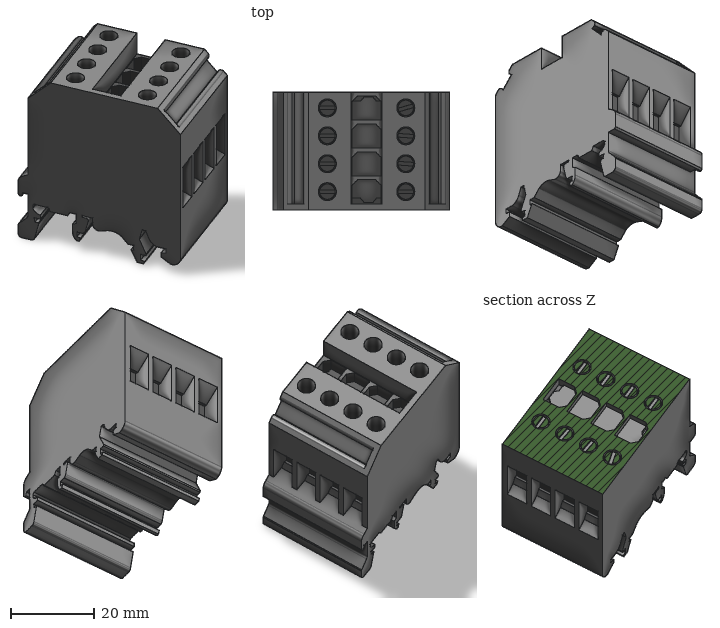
import cadquery as cq

WIDTH = 42.5
LENGTH = 28.35
HEIGHT = 46.4

TERMINALS = 4
END_PLATE = 1.55
PITCH = (LENGTH - END_PLATE) / TERMINALS

HOUSING_LEFT = 2.55
CENTRE_X = (HOUSING_LEFT + WIDTH) / 2
CORNER_CHAMFER = 6.0
EAVES_Z = HEIGHT - CORNER_CHAMFER
SHOULDER_Z = 18.5
SHOULDER_SLOPE = 0.6
SHOULDER_NOSE_X = 1.15
LEDGE_Z = 11.92

CAVITY_Z = 10.45
PAD_Z = 9.4
POST_Z = 5.4
HOOK_ROOF_Z = 6.6
BARB_Z = 4.05
REAR_CLIP_Z = 0.8

NOTCH_HEIGHT = 0.97
NOTCH_BOTTOM_X = 0.95
NOTCH_TOP_X = 1.15

SHAFT_DIAMETER = 4.3
SHAFT_OFFSET = 9.4
SHAFT_Y = 4.45
SHAFT_DEPTH = 9.3
SCREW_DIAMETER = 3.7
SCREW_HEIGHT = 1.4
DRIVE_WIDTH = 0.9
DRIVE_DEPTH = 0.7
LEFT_DRIVE_ANGLE = 0
RIGHT_DRIVE_ANGLES = [0, -4, -4, 16]

CHANNEL_WIDTH = 7.4
CHANNEL_DEPTH = CORNER_CHAMFER
POCKET_WIDTH = 7.05
POCKET_LENGTH = 5.8
POCKET_DEPTH = 4.65
POCKET_BEVEL = 1.4

BAR_HEIGHT = 0.95
BAR_START = 2.9
BAR_END = 26.15
TONGUE_LENGTH = 0.97
TONGUE_ROOT_WIDTH = 3.9
TONGUE_TIP_WIDTH = 2.15
TONGUE_OFFSET = 0.45

ENTRY_WIDTH = 5.4
ENTRY_BACK_WIDTH = 4.35
ENTRY_DEPTH = 4.0
THROAT_DEPTH = 0.65
ENTRY_TOP_Z = 30.2
THROAT_TOP_Z = 26.4
THROAT_BOTTOM_Z = 21.58
ENTRY_RAMP_DEPTH = 2.45
ENTRY_RAMP_Z = SHOULDER_Z + SHOULDER_SLOPE * ENTRY_RAMP_DEPTH


def extrude_along_rail(outline, start, length):
    """Extrude an outline drawn in X and Z along +Y from the given Y."""
    return outline.extrude(-length).translate((0, start, 0))


def mirrored(body):
    """The same body on the other side of the housing."""
    return body.mirror("YZ", (CENTRE_X, 0, 0))


def housing():
    """Solid housing with its rail foot, drawn anticlockwise from the shoulder."""
    shoulder_nose_z = SHOULDER_Z - SHOULDER_SLOPE * (HOUSING_LEFT - SHOULDER_NOSE_X)
    outline = (
        cq.Workplane("XZ")
        .moveTo(HOUSING_LEFT, SHOULDER_Z)
        .lineTo(SHOULDER_NOSE_X, shoulder_nose_z)
        .threePointArc((0.35, 17.08), (0, 16.05))
        .lineTo(0, LEDGE_Z + 0.45)
        .lineTo(0.35, LEDGE_Z)
        .lineTo(HOUSING_LEFT, LEDGE_Z)
        .lineTo(HOUSING_LEFT, 6.77)
        .threePointArc((2.45, 6.3), (2.25, 6.0))
        .lineTo(0.15, 3.85)
        .lineTo(0, 3.5)
        .lineTo(0, 1.05)
        .threePointArc((0.32, 0.32), (1.05, 0))
        .lineTo(3.5, 0)
        .threePointArc((4.05, 0.25), (4.3, 0.8))
        .lineTo(5.45, 5.2)
        .lineTo(5.3, POST_Z)
        .lineTo(4.4, POST_Z)
        .lineTo(4.18, HOOK_ROOF_Z)
        .lineTo(5.85, HOOK_ROOF_Z)
        .lineTo(5.85, 7.75)
        .threePointArc((4.6, 8.2), (3.85, 9.25))
        .lineTo(3.85, 9.98)
        .lineTo(4.3, CAVITY_Z)
        .lineTo(7.8, CAVITY_Z)
        .lineTo(8.45, PAD_Z)
        .lineTo(12.95, PAD_Z)
        .lineTo(13.55, CAVITY_Z)
        .lineTo(15.2, CAVITY_Z)
        .lineTo(15.2, 7.8)
        .lineTo(14.25, 7.35)
        .lineTo(14.25, 5.2)
        .threePointArc((14.55, 3.8), (15.35, 2.9))
        .lineTo(16.0, 2.9)
        .lineTo(16.35, 3.9)
        .lineTo(15.4, BARB_Z)
        .lineTo(15.4, POST_Z)
        .lineTo(17.0, POST_Z)
        .threePointArc((17.35, 5.65), (17.6, 6.12))
        .lineTo(18.35, 9.05)
        .threePointArc((18.3, 9.7), (17.75, 9.98))
        .lineTo(16.7, 9.98)
        .lineTo(16.7, CAVITY_Z)
        .lineTo(19.5, CAVITY_Z)
        .lineTo(19.5, 8.55)
        .threePointArc((20.1, 7.55), (21.35, 7.2))
        .lineTo(23.5, 7.9)
        .threePointArc((25.35, 7.95), (27.05, 7.2))
        .lineTo(28.75, POST_Z)
        .lineTo(30.25, POST_Z)
        .lineTo(30.25, BARB_Z)
        .lineTo(29.55, BARB_Z)
        .lineTo(31.2, REAR_CLIP_Z)
        .lineTo(32.85, REAR_CLIP_Z)
        .lineTo(33.15, 1.55)
        .lineTo(32.1, 1.7)
        .lineTo(32.1, 3.3)
        .lineTo(33.4, 3.3)
        .lineTo(33.5, 3.75)
        .lineTo(31.75, 7.6)
        .lineTo(32.5, CAVITY_Z)
        .lineTo(33.4, CAVITY_Z)
        .lineTo(34.25, 8.45)
        .threePointArc((35.1, 7.3), (36.45, HOOK_ROOF_Z))
        .lineTo(38.7, HOOK_ROOF_Z)
        .lineTo(38.7, 5.45)
        .lineTo(37.45, 5.2)
        .lineTo(37.45, 3.95)
        .lineTo(40.05, 2.5)
        .threePointArc((41.75, 3.1), (WIDTH, 4.55))
        .lineTo(WIDTH, EAVES_Z)
        .lineTo(WIDTH - CORNER_CHAMFER, HEIGHT)
        .lineTo(HOUSING_LEFT + CORNER_CHAMFER, HEIGHT)
        .lineTo(HOUSING_LEFT, EAVES_Z)
        .close()
    )
    return extrude_along_rail(outline, 0, LENGTH)


def end_plate_notch():
    """Recess under the shoulder, cut through the end plate."""
    outline = (
        cq.Workplane("XZ")
        .moveTo(NOTCH_BOTTOM_X, LEDGE_Z)
        .lineTo(HOUSING_LEFT, LEDGE_Z)
        .lineTo(HOUSING_LEFT, LEDGE_Z + NOTCH_HEIGHT)
        .lineTo(NOTCH_TOP_X, LEDGE_Z + NOTCH_HEIGHT)
        .close()
    )
    return extrude_along_rail(outline, 0, END_PLATE)


def marker_groove():
    """Groove with rounded lips in the left chamfer, open at the +Y end."""
    outline = (
        cq.Workplane("XZ")
        .moveTo(3.53, 41.4)
        .threePointArc((4.15, 41.57), (4.65, 41.45))
        .lineTo(5.25, 40.7)
        .lineTo(8.25, 43.7)
        .lineTo(7.45, 44.25)
        .threePointArc((7.35, 44.78), (7.5, 45.4))
        .close()
    )
    return extrude_along_rail(outline, END_PLATE, LENGTH - END_PLATE)


def screw_shaft(x, y, drive_angle):
    """Round shaft less the slotted screw head standing on its floor."""
    floor_z = HEIGHT - SHAFT_DEPTH
    shaft = cq.Workplane().circle(SHAFT_DIAMETER / 2).extrude(SHAFT_DEPTH)
    head = cq.Workplane().circle(SCREW_DIAMETER / 2).extrude(SCREW_HEIGHT)
    drive = (
        cq.Workplane()
        .workplane(offset=SCREW_HEIGHT - DRIVE_DEPTH)
        .rect(SHAFT_DIAMETER, DRIVE_WIDTH)
        .extrude(DRIVE_DEPTH)
        .rotate((0, 0, 0), (0, 0, 1), drive_angle)
    )
    return shaft.cut(head.cut(drive)).translate((x, y, floor_z))


def channel():
    """Channel between the two rows of screws, open at the +Y end."""
    return cq.Workplane().box(
        CHANNEL_WIDTH, LENGTH - END_PLATE, CHANNEL_DEPTH, centered=(True, False, False)
    ).translate((CENTRE_X, END_PLATE, HEIGHT - CHANNEL_DEPTH))


def jumper_bar():
    """Flat bar across all the pockets, its ends narrowing to a tongue."""
    half_root = TONGUE_ROOT_WIDTH / 2
    half_tip = TONGUE_TIP_WIDTH / 2
    tongue_ends = [(BAR_START, BAR_START - TONGUE_LENGTH), (BAR_END, BAR_END + TONGUE_LENGTH)]
    bar = (
        cq.Workplane()
        .box(POCKET_WIDTH, BAR_END - BAR_START, BAR_HEIGHT, centered=(True, False, False))
        .translate((0, BAR_START, 0))
    )
    for root_y, tip_y in tongue_ends:
        tongue = (
            cq.Workplane()
            .moveTo(TONGUE_OFFSET - half_root, root_y)
            .lineTo(TONGUE_OFFSET - half_tip, tip_y)
            .lineTo(TONGUE_OFFSET + half_tip, tip_y)
            .lineTo(TONGUE_OFFSET + half_root, root_y)
            .close()
            .extrude(BAR_HEIGHT)
        )
        bar = bar.union(tongue)
    return bar


def jumper_pockets():
    """Pockets in the channel floor with the +Y corners bevelled, less the jumper bar."""
    pockets = cq.Workplane()
    for i in range(TERMINALS):
        pocket = (
            cq.Workplane()
            .box(POCKET_WIDTH, POCKET_LENGTH, POCKET_DEPTH, centered=(True, False, False))
            .edges("|Z and >Y")
            .chamfer(POCKET_BEVEL)
            .translate((0, END_PLATE + i * PITCH, 0))
        )
        pockets = pockets.add(pocket)
    floor_z = HEIGHT - CHANNEL_DEPTH - POCKET_DEPTH
    return pockets.combine().cut(jumper_bar()).translate((CENTRE_X, 0, floor_z))


def wire_entry(start):
    """Funnel in the left face; the floor continues the shoulder and the +Y wall leans inwards."""
    back_x = HOUSING_LEFT + ENTRY_DEPTH
    throat_x = back_x - THROAT_DEPTH
    outline = (
        cq.Workplane("XZ")
        .moveTo(HOUSING_LEFT, SHOULDER_Z)
        .lineTo(HOUSING_LEFT + ENTRY_RAMP_DEPTH, ENTRY_RAMP_Z)
        .lineTo(throat_x, THROAT_BOTTOM_Z)
        .lineTo(back_x, THROAT_BOTTOM_Z)
        .lineTo(back_x, THROAT_TOP_Z)
        .lineTo(throat_x, THROAT_TOP_Z)
        .lineTo(HOUSING_LEFT, ENTRY_TOP_Z)
        .close()
    )
    funnel = extrude_along_rail(outline, start, ENTRY_WIDTH)
    plan = (
        cq.Workplane()
        .moveTo(HOUSING_LEFT, start)
        .lineTo(HOUSING_LEFT, start + ENTRY_WIDTH)
        .lineTo(back_x, start + ENTRY_BACK_WIDTH)
        .lineTo(back_x, start)
        .close()
        .extrude(HEIGHT)
    )
    return funnel.intersect(plan)


result = housing().cut(end_plate_notch()).cut(channel()).cut(jumper_pockets())

groove = marker_groove()
result = result.cut(groove).cut(mirrored(groove))

for i in range(TERMINALS):
    shaft_y = SHAFT_Y + i * PITCH
    result = result.cut(screw_shaft(CENTRE_X - SHAFT_OFFSET, shaft_y, LEFT_DRIVE_ANGLE))
    result = result.cut(screw_shaft(CENTRE_X + SHAFT_OFFSET, shaft_y, RIGHT_DRIVE_ANGLES[i]))
    entry = wire_entry(END_PLATE + i * PITCH)
    result = result.cut(entry).cut(mirrored(entry))